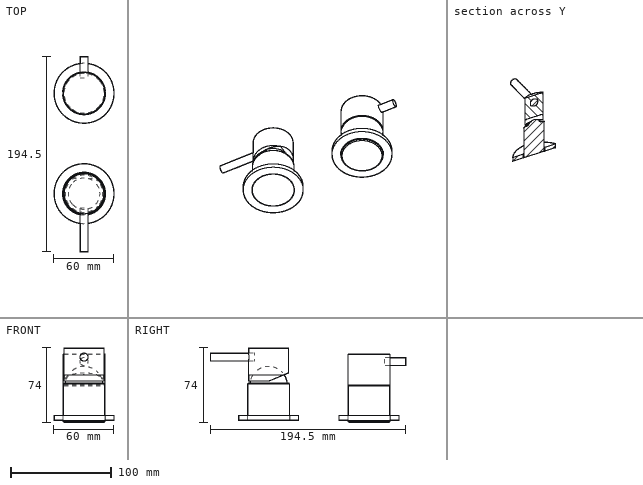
import cadquery as cq

axis_spacing = 100.0
flange_diameter = 60.0
flange_thickness = 5.0
flange_bottom = 2.0
sleeve_diameter = 41.6
flange_bore = 42.4
sleeve_chamfer = 1.0
lever_diameter = 8.0

front_sleeve_top = 39.3
ball_diameter = 37.5
ball_center_height = 37.0
front_knob_diameter = 40.0
front_knob_bottom = 41.0
front_knob_top = 74.0
front_knob_bore = 39.0
front_knob_ceiling = 47.3
relief_rise = 8.2
front_lever_height = 65.0
front_lever_reach = 58.0

rear_sleeve_bottom = 0.0
rear_sleeve_top = 37.1
rear_knob_top = 67.9
rear_knob_diameter = 42.0
rear_knob_chamfer = 0.4
rear_lever_height = 60.5
rear_lever_reach = 36.5

lever_root_depth = 5.8


def cylinder(diameter, bottom, top, y=0):
    """Upright cylinder between two heights, on the axis at the given Y."""
    return cq.Workplane("XY", origin=(0, y, bottom)).circle(diameter / 2).extrude(top - bottom)


def make_flange(y):
    """Round cover plate with a bore slightly wider than the sleeve."""
    top = flange_bottom + flange_thickness
    plate = cylinder(flange_diameter, flange_bottom, top, y)
    return plate.cut(cylinder(flange_bore, flange_bottom, top, y))


def make_lever(y, height, knob_diameter, reach, direction):
    """Horizontal rod along Y, with its root inside the knob; direction is +1 or -1."""
    root = knob_diameter / 2 - lever_root_depth
    plane = cq.Plane(origin=(0, y + direction * root, height), xDir=(1, 0, 0), normal=(0, direction, 0))
    return cq.Workplane(plane).circle(lever_diameter / 2).extrude(reach - root)


def make_ball():
    """Ball that the front knob tilts on; its crown seats in the roof of the knob."""
    return cq.Workplane("XY", origin=(0, 0, ball_center_height)).sphere(ball_diameter / 2)


def make_front_sleeve():
    """Sleeve with the ball rising from its top, as one body."""
    sleeve = cylinder(sleeve_diameter, flange_bottom, front_sleeve_top)
    return sleeve.faces(">Z").chamfer(sleeve_chamfer).union(make_ball())


def make_front_knob(lever):
    """Cap with a sloped rear underside, a hollow, a ball seat and a lever socket."""
    radius = front_knob_diameter / 2
    knob = cylinder(front_knob_diameter, front_knob_bottom, front_knob_top)
    relief = (
        cq.Workplane("YZ")
        .moveTo(0, front_knob_bottom)
        .lineTo(radius, front_knob_bottom + relief_rise)
        .lineTo(radius, front_knob_bottom)
        .close()
        .extrude(radius, both=True)
    )
    hollow = cylinder(front_knob_bore, front_knob_bottom, front_knob_ceiling)
    return knob.cut(relief).cut(hollow).cut(make_ball()).cut(lever)


def make_rear_sleeve(y):
    """Plain sleeve that runs through its flange, chamfered at both ends."""
    sleeve = cylinder(sleeve_diameter, rear_sleeve_bottom, rear_sleeve_top, y)
    return sleeve.faces("<Z or >Z").chamfer(sleeve_chamfer)


def make_rear_knob(y, lever):
    """Solid cap with a fine top chamfer and a lever socket."""
    knob = cylinder(rear_knob_diameter, rear_sleeve_top, rear_knob_top, y)
    return knob.faces(">Z").chamfer(rear_knob_chamfer).cut(lever)


front_y = 0
rear_y = front_y + axis_spacing

flanges = [make_flange(y) for y in (front_y, rear_y)]
front_lever = make_lever(front_y, front_lever_height, front_knob_diameter, front_lever_reach, -1)
rear_lever = make_lever(rear_y, rear_lever_height, rear_knob_diameter, rear_lever_reach, 1)
front_sleeve = make_front_sleeve()
front_knob = make_front_knob(front_lever)
rear_sleeve = make_rear_sleeve(rear_y)
rear_knob = make_rear_knob(rear_y, rear_lever)

result = cq.Compound.makeCompound([
    *[flange.val() for flange in flanges],
    front_sleeve.val(),
    front_knob.val(),
    front_lever.val(),
    rear_sleeve.val(),
    rear_knob.val(),
    rear_lever.val(),
])